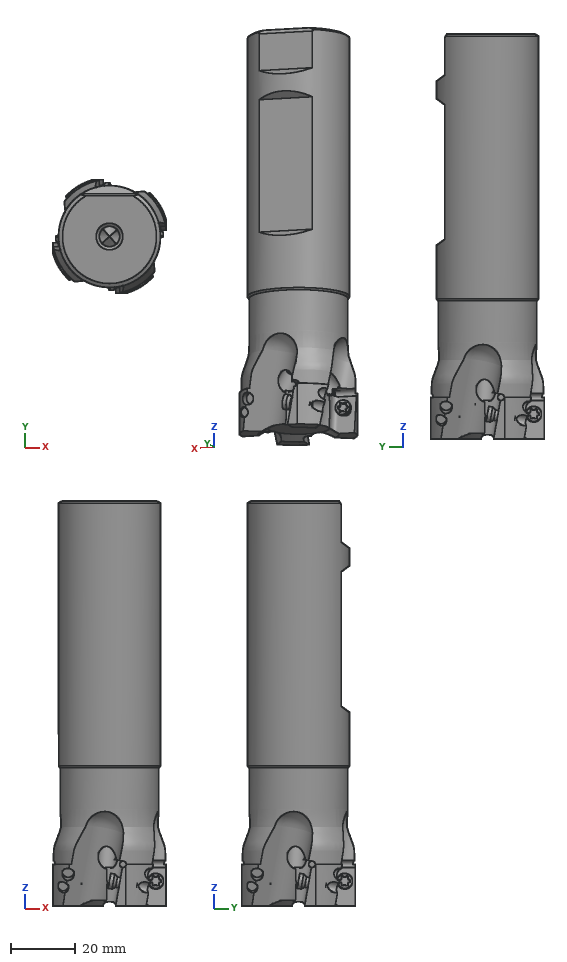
import cadquery as cq
import math

length = 126.0
teeth = 4

shank_radius = 15.9
neck_radius = 15.4
collar_z = 43.6
collar_bevel = 0.6
top_bevel_width = 1.3
top_bevel_height = 0.8

flat_y = 13.4
flat_end_run = 1.9
upper_flat_bottom = 113.2
lower_flat_top = 104.0
lower_flat_bottom = 62.1

neck_end_z = 30.2
flare_start = (15.6, 24.7)
flare_end = (17.1, 20.2)
head_radius = 17.8
head_start_z = 17.4
neck_hollow = 0.09
head_bulge = 0.1
rim_radius = 18.4
rim_z = 13.0
head_width_x = 35.2
head_width_y = 35.4

bore_radius = 3.2
bore_mouth_radius = 4.2
bore_bevel = 1.0
bore_bottom_z = 20.2
dish_depth = 1.9
dish_floor_radius = 9.5
dish_rim_radius = 12.6

flute_radius = 6.5
flute_ball = (-1.8, -17.9, 23.5)
flute_axis = (-0.19, 0.15, -1.0)
flute_length = 32.8
flute_reach = 18.9
flute_flat_angle = 30.0

seat_tilt = 10.0
seat_x = 1.9
pocket_inner_y = -10.3
pocket_top = 14.2
pocket_opening = 8.8
pocket_width = 12.6
pocket_fillet = 1.8
pocket_groove_radius = 1.0
relief_hole_radius = 1.9
relief_hole_y = -12.9
relief_hole_height = 11.6
relief_hole_start = 3.2
relief_hole_length = 15.1

coolant_radius = 3.0
coolant_start_z = 23.5
coolant_drop = 0.8
coolant_sway = 0.05
coolant_reach = 15.1

screw_y = -14.4
screw_height = 7.4
screw_head_radius = 2.4
head_gap = 2.0
head_thickness = 1.3
head_cone = 1.0
stem_radius = 1.6
stem_depth = 5.4
screw_hole_length = 10.8
socket_radius = 1.3
lobe_radius = 0.44
lobe_count = 6
socket_depth = 0.9


def copies_around_axis(shape):
    """Return one copy of the shape for each tooth."""
    return [shape.rotate((0, 0, 0), (0, 0, 1), i * 360.0 / teeth) for i in range(teeth)]


def seat_plane(y, height):
    """Plane on the pocket floor; its normal points out of the tooth, its y axis up the floor."""
    tilt = math.radians(seat_tilt)
    origin = (seat_x + height * math.sin(tilt), y, height * math.cos(tilt))
    return cq.Plane(origin=origin, xDir=(0, -1, 0), normal=(-math.cos(tilt), 0, math.sin(tilt)))


def turned_blank():
    """Shank, neck and flared head as one turned profile."""
    head_curve_mid = ((head_radius + flare_end[0]) / 2 + head_bulge, (flare_end[1] + head_start_z) / 2)
    neck_curve_mid = ((neck_radius + flare_start[0]) / 2 - neck_hollow, (neck_end_z + flare_start[1]) / 2)
    blank = (
        cq.Workplane("XZ")
        .moveTo(0, 0)
        .lineTo(rim_radius, 0)
        .lineTo(rim_radius, rim_z)
        .lineTo(head_radius, rim_z)
        .lineTo(head_radius, head_start_z)
        .threePointArc(head_curve_mid, flare_end)
        .lineTo(*flare_start)
        .threePointArc(neck_curve_mid, (neck_radius, neck_end_z))
        .lineTo(neck_radius, collar_z - collar_bevel)
        .lineTo(shank_radius, collar_z)
        .lineTo(shank_radius, length)
        .lineTo(0, length)
        .close()
        .revolve(360, (0, 0, 0), (0, 1, 0))
    )
    envelope = cq.Workplane("XY").box(head_width_x, head_width_y, length, centered=(True, True, False))
    return blank.intersect(envelope)


def clamping_flat(bottom_z, top_z):
    """Cutter for a flat on the +Y side, with ends that slope out to the full shank."""
    return (
        cq.Workplane("YZ")
        .moveTo(flat_y, bottom_z)
        .lineTo(shank_radius, bottom_z - flat_end_run)
        .lineTo(shank_radius, top_z + flat_end_run)
        .lineTo(flat_y, top_z)
        .close()
        .extrude(shank_radius, both=True)
    )


def bore():
    """Blind bore from the top with a bevelled mouth."""
    return (
        cq.Workplane("XZ")
        .moveTo(0, bore_bottom_z)
        .lineTo(bore_radius, bore_bottom_z)
        .lineTo(bore_radius, length - bore_bevel)
        .lineTo(bore_mouth_radius, length)
        .lineTo(0, length)
        .close()
        .revolve(360, (0, 0, 0), (0, 1, 0))
    )


def bottom_dish():
    """Shallow conical recess in the bottom face."""
    return (
        cq.Workplane("XZ")
        .moveTo(0, 0)
        .lineTo(dish_rim_radius, 0)
        .lineTo(dish_floor_radius, dish_depth)
        .lineTo(0, dish_depth)
        .close()
        .revolve(360, (0, 0, 0), (0, 1, 0))
    )


def flute():
    """Ball-ended groove that sinks toward the bottom, with one side running outward as a flat."""
    angle = math.radians(flute_flat_angle)
    sideways = cq.Vector(-math.cos(angle), -math.sin(angle), 0)
    axis = cq.Vector(*flute_axis).normalized()
    sideways = (sideways - axis * sideways.dot(axis)).normalized()
    start = cq.Plane(origin=flute_ball, xDir=sideways, normal=axis)
    side = cq.Plane(origin=flute_ball, xDir=axis, normal=sideways)
    groove = cq.Workplane(start).circle(flute_radius).extrude(flute_length)
    ball = cq.Workplane(start).sphere(flute_radius)
    flat_side = cq.Workplane(start).box(
        flute_reach, 2 * flute_radius, flute_length, centered=(False, True, False)
    )
    rounded_end = cq.Workplane(side).circle(flute_radius).extrude(flute_reach)
    return groove.union(ball).union(flat_side).union(rounded_end)


def pocket():
    """Insert seat with a tilted floor, a rounded inner edge and a relief groove along the top."""
    seat = (
        cq.Workplane("XY")
        .box(pocket_width, 2 * pocket_top, pocket_opening, centered=(False, True, False))
        .edges("<X and <Z")
        .fillet(pocket_fillet)
    )
    groove = (
        cq.Workplane("YZ")
        .center(pocket_top - pocket_groove_radius, 0)
        .circle(pocket_groove_radius)
        .extrude(pocket_width)
    )
    seat = seat.union(groove)
    return cq.Workplane(seat.val().moved(seat_plane(pocket_inner_y, 0).location))


def relief_hole():
    """Round blind hole in the back of the tooth, behind the top of the pocket floor."""
    return (
        cq.Workplane(seat_plane(relief_hole_y, relief_hole_height))
        .workplane(offset=-relief_hole_start)
        .circle(relief_hole_radius)
        .extrude(-relief_hole_length)
    )


def screw_hole():
    """Hole through the tooth that fits the screw stem and runs on past its tip."""
    return (
        cq.Workplane(seat_plane(screw_y, screw_height))
        .circle(stem_radius)
        .extrude(-screw_hole_length)
    )


def coolant_channel():
    """Channel falling outward from the bore into the flute."""
    path = cq.Plane(origin=(0, 0, coolant_start_z), normal=(-coolant_sway, -1, -coolant_drop))
    return cq.Workplane(path).circle(coolant_radius).extrude(coolant_reach)


def build_cutter_body():
    """Shank and toothed head in one piece."""
    body = turned_blank()
    body = body.cut(clamping_flat(upper_flat_bottom, length))
    body = body.cut(clamping_flat(lower_flat_bottom, lower_flat_top))
    body = body.faces(">Z").chamfer(top_bevel_height, top_bevel_width)
    body = body.cut(bore()).cut(bottom_dish())
    for feature in (flute(), pocket(), relief_hole(), screw_hole(), coolant_channel()):
        for copy in copies_around_axis(feature.val()):
            body = body.cut(cq.Workplane(copy))
    return body


def build_clamp_screw():
    """Screw with a conical head underside and a six-lobed socket, seated in one tooth."""
    head_top = head_gap + head_thickness
    screw = (
        cq.Workplane("XZ")
        .moveTo(0, -stem_depth)
        .lineTo(stem_radius, -stem_depth)
        .lineTo(stem_radius, head_gap - head_cone)
        .lineTo(screw_head_radius, head_gap)
        .lineTo(screw_head_radius, head_top)
        .lineTo(0, head_top)
        .close()
        .revolve(360, (0, 0, 0), (0, 1, 0))
    )
    socket = cq.Workplane("XY").workplane(offset=head_top).circle(socket_radius).extrude(-socket_depth)
    lobes = (
        cq.Workplane("XY")
        .workplane(offset=head_top)
        .polarArray(socket_radius, 0, 360, lobe_count)
        .circle(lobe_radius)
        .extrude(-socket_depth)
    )
    screw = screw.cut(socket).cut(lobes)
    return screw.val().moved(seat_plane(screw_y, screw_height).location)


cutter_body = build_cutter_body()
clamp_screws = copies_around_axis(build_clamp_screw())

result = cq.Compound.makeCompound([cutter_body.val(), *clamp_screws])